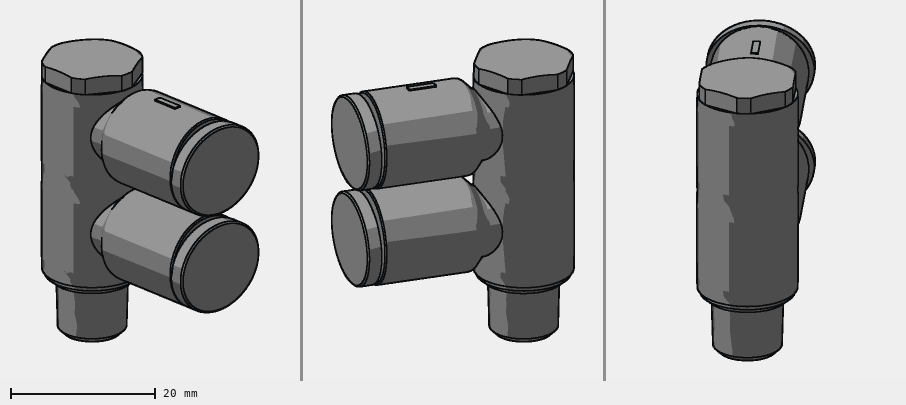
import cadquery as cq
import math

sleeve_radius = 7.0
sleeve_height = 14.5
sleeve_bottom = 9.47
end_band_height = 2.0
end_band_draft = 0.05
seat_radius = 6.6
seat_bottom = 8.8
collar_radius = 5.7
collar_bottom = 8.05

spigot_top_radius = 5.0
spigot_bottom_radius = 4.8
spigot_chamfer = 0.8

total_height = 41.0
head_flats = 13.0
head_bevel_height = 0.15
head_bottom = sleeve_bottom + 2 * sleeve_height

branch_height = 8.05
branch_radius = 6.8
branch_end = 22.75
branch_end_chamfer = 0.2
neck_radius = 5.0
shoulder_start = 7.1
shoulder_fillet = 1.0
shoulder_end = shoulder_start + branch_radius - neck_radius

tube_radius = 4.85
ring_start = 23.55
ring_end = 25.6
ring_half_width = 7.5
ring_half_height = 6.5
ring_chamfer = 0.25

mark_start = 13.0
mark_length = 3.98
mark_width = 1.0
mark_height = 0.15


def make_sleeve(bottom):
    """Turned sleeve, slightly drafted towards both ends."""
    top = bottom + sleeve_height
    end_radius = sleeve_radius - end_band_draft
    profile = [
        (0, bottom),
        (end_radius, bottom),
        (sleeve_radius, bottom + end_band_height),
        (sleeve_radius, top - end_band_height),
        (end_radius, top),
        (0, top),
    ]
    return cq.Workplane("XZ").polyline(profile).close().revolve(360, (0, 0), (0, 1))


def make_spigot():
    """Seat, collar and tapered spigot below the lower sleeve."""
    profile = [
        (0, 0),
        (spigot_bottom_radius - spigot_chamfer, 0),
        (spigot_bottom_radius, spigot_chamfer),
        (spigot_top_radius, collar_bottom),
        (collar_radius, collar_bottom),
        (collar_radius, seat_bottom),
        (seat_radius, seat_bottom),
        (seat_radius, sleeve_bottom),
        (0, sleeve_bottom),
    ]
    return cq.Workplane("XZ").polyline(profile).close().revolve(360, (0, 0), (0, 1))


def make_head():
    """Hexagon with two flats facing +-Y, its corners turned to the sleeve radius and bevelled."""
    hexagon = (
        cq.Workplane("XY", origin=(0, 0, head_bottom))
        .polygon(6, head_flats / math.cos(math.pi / 6))
        .extrude(total_height - head_bottom)
    )
    turned_profile = [
        (0, head_bottom),
        (sleeve_radius, head_bottom),
        (sleeve_radius, total_height - head_bevel_height),
        (head_flats / 2, total_height),
        (0, total_height),
    ]
    turned = cq.Workplane("XZ").polyline(turned_profile).close().revolve(360, (0, 0), (0, 1))
    return hexagon.intersect(turned)


def make_branch_body():
    """Neck, shoulder and barrel, turned about the X axis."""
    profile = [
        (0, 0),
        (0, neck_radius),
        (shoulder_start, neck_radius),
        (shoulder_end, branch_radius),
        (branch_end, branch_radius),
        (branch_end, 0),
    ]
    body = cq.Workplane("XZ").polyline(profile).close().revolve(360, (0, 0), (1, 0))
    margin = 0.4
    reach = branch_radius + margin
    shoulder_box = cq.selectors.BoxSelector(
        (shoulder_start - margin, -reach, -reach),
        (shoulder_end + margin, reach, reach),
        boundingbox=True,
    )
    body = body.edges(shoulder_box).fillet(shoulder_fillet)
    return body.faces(">X").edges().chamfer(branch_end_chamfer)


def make_branch(axis_height):
    """Barrel with its tube and oval release ring."""
    tube = cq.Workplane("YZ").circle(tube_radius).extrude(ring_end)
    ring = (
        cq.Workplane("YZ", origin=(ring_start, 0, 0))
        .ellipse(ring_half_width, ring_half_height)
        .extrude(ring_end - ring_start)
        .faces(">X")
        .edges()
        .chamfer(ring_chamfer)
    )
    branch = make_branch_body().union(tube).union(ring)
    return branch.translate((0, 0, axis_height))


def make_mark(axis_height):
    """Narrow pad rising from the branch axis to just above the barrel."""
    return (
        cq.Workplane("XY", origin=(mark_start, 0, axis_height))
        .box(mark_length, mark_width, branch_radius + mark_height, centered=(False, True, False))
    )


sleeve_bottoms = [sleeve_bottom, sleeve_bottom + sleeve_height]

result = make_spigot().union(make_head())
for bottom in sleeve_bottoms:
    result = result.union(make_sleeve(bottom)).union(make_branch(bottom + branch_height))
result = result.union(make_mark(sleeve_bottoms[-1] + branch_height))